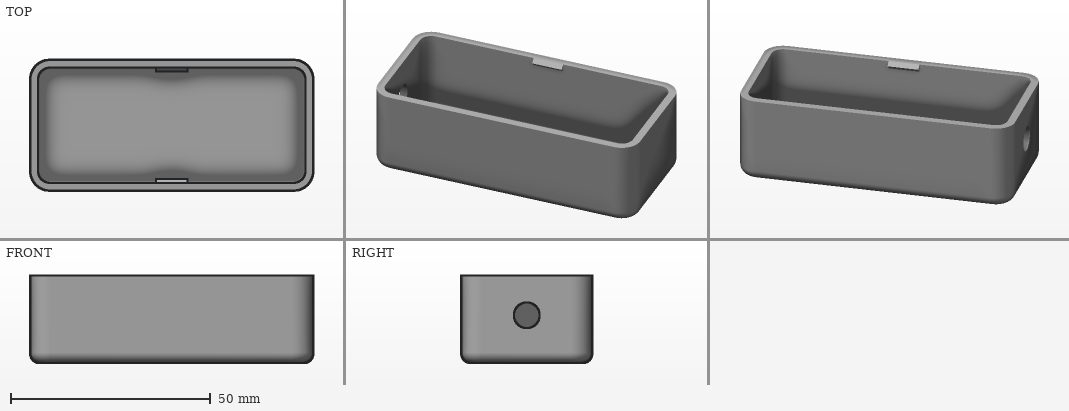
import cadquery as cq

length = 71.0
width = 32.86
height = 22.0
corner_radius = 5.0
bottom_edge_radius = 2.5

wall = 2.0
floor_thickness = 2.0
floor_edge_radius = 0.5
cavity_length = length - 2 * wall
cavity_width = width - 2 * wall
cavity_corner_radius = corner_radius - wall

ridge_length = 8.0
ridge_depth = 1.0
ridge_height = 2 * ridge_depth

hole_diameter = 6.45
hole_height = 12.0


def rounded_block(block_length, block_width, bottom, vertical_radius, bottom_radius):
    """Block from the given bottom up to the rim, rounded on its upright and bottom edges."""
    block = (
        cq.Workplane("XY")
        .workplane(offset=bottom)
        .rect(block_length, block_width)
        .extrude(height - bottom)
    )
    return block.edges("|Z").fillet(vertical_radius).faces("<Z").edges().fillet(bottom_radius)


def snap_ridge(side):
    """Triangular ridge on the inside of the long wall at +Y (side = 1) or -Y (side = -1)."""
    wall_face = side * cavity_width / 2
    tip = wall_face - side * ridge_depth
    wall_middle = wall_face + side * wall / 2
    profile = [
        (wall_middle, height),
        (wall_face, height),
        (tip, height - ridge_height / 2),
        (wall_face, height - ridge_height),
        (wall_middle, height - ridge_height),
    ]
    return cq.Workplane("YZ").polyline(profile).close().extrude(ridge_length / 2, both=True)


def cable_hole():
    """Round cutter reaching from the cavity out through the +X wall."""
    return (
        cq.Workplane("YZ")
        .center(0, hole_height)
        .circle(hole_diameter / 2)
        .extrude(length)
    )


shell = rounded_block(length, width, 0, corner_radius, bottom_edge_radius)
cavity = rounded_block(
    cavity_length, cavity_width, floor_thickness, cavity_corner_radius, floor_edge_radius
)
result = shell.cut(cavity)
for ridge_side in (-1, 1):
    result = result.union(snap_ridge(ridge_side))
result = result.cut(cable_hole())